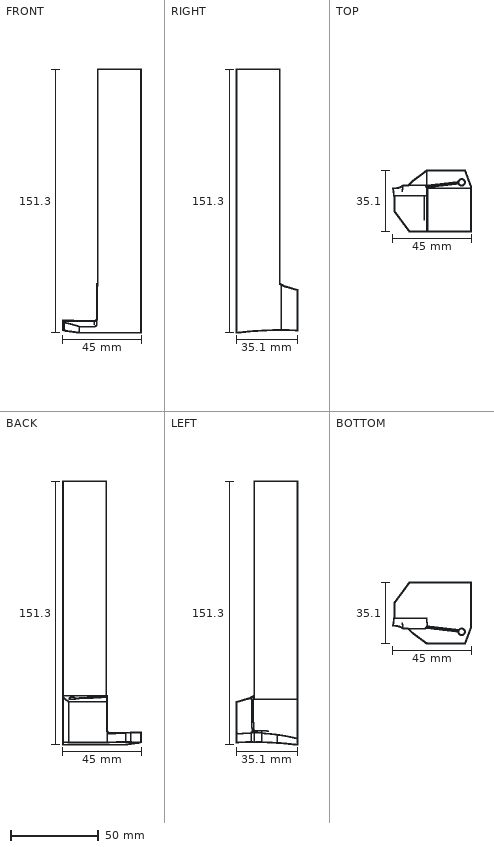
import cadquery as cq
import math


TOTAL_LENGTH = 45.0
TOTAL_DEPTH = 35.1
TOTAL_HEIGHT = 151.3

SHANK_SIDE = 25.0
HEAD_X = -0.5
HEAD_TOP = 26.3
STEP_TOP = 27.7

JAW_BACK_Z = 24.7
JAW_CREASE_Y = 27.4
JAW_CREASE_Z = 27.0
JAW_TOP_Z = 28.3
JAW_BACK_END_X = 21.5
JAW_SIDE_Y = 25.7

CREST_Y = SHANK_SIDE
UNDERSIDE_CREST_Z = 1.7
BLADE_CREST_Z = 6.8
BLADE_FRONT_Z = 3.6
ROOT_RADIUS = 1.5

BLADE_TIP_X = -19.0
BLADE_CORNER_Y = 11.6
BLADE_FRONT_X = -10.5
JAW_TIP_X = -11.2
JAW_BEND_X = -8.6
JAW_BEND_Y = 29.0

HOLE_X = 19.5
HOLE_Y = 28.3
HOLE_DIAMETER = 3.6
SLOT_MOUTH_Y = 25.9
SLOT_WIDTH = 0.9
SLOT_LEAN = 1.0

TIP_X = SHANK_SIDE - TOTAL_LENGTH
TIP_Y = SHANK_SIDE
RELIEF_X = -19.5
RELIEF_Y = 22.2
SEAT_Y = 20.5
INSERT_TOP_Y = 26.5
RAKE_MID_X = -17.1
RAKE_MID_Y = 25.1
RAKE_END_X = -14.0
TAIL_X = -0.2
TAIL_Y = SHANK_SIDE
TAIL_CHAMFER_X = -1.4

INSERT_MID_Z = 4.4
INSERT_WIDTH = 5.3
CUTTING_WIDTH = 5.9
CLEARANCE_END_X = -14.5
CLEARANCE_START_Y = 21.5
CLEARANCE_END_Y = 23.3
POCKET_TOP_Z = 8.2

MARGIN = 7.5
PICK_GAP = 0.2


def prism_along_x(outline, start_x, end_x):
    """Solid from a closed (y, z) outline between two x positions."""
    return outline.extrude(end_x - start_x).translate((start_x, 0, 0))


def below_arc(crest_z, front_z, start_x, end_x):
    """Solid under an arc that has its crest at CREST_Y and the height front_z at y = 0."""
    drop = crest_z - front_z
    radius = (CREST_Y**2 + drop**2) / (2 * drop)
    back_z = crest_z - radius + math.sqrt(radius**2 - (TOTAL_DEPTH - CREST_Y) ** 2)
    outline = (
        cq.Workplane("YZ")
        .moveTo(0, front_z)
        .threePointArc((CREST_Y, crest_z), (TOTAL_DEPTH, back_z))
        .lineTo(TOTAL_DEPTH, -MARGIN)
        .lineTo(0, -MARGIN)
        .close()
    )
    return prism_along_x(outline, start_x, end_x)


def shank_and_head():
    """Square shank whose lower part stands proud on the -X side, joined by a hollow arc."""
    return (
        cq.Workplane("XZ")
        .moveTo(HEAD_X, 0)
        .lineTo(SHANK_SIDE, 0)
        .lineTo(SHANK_SIDE, TOTAL_HEIGHT)
        .lineTo(0, TOTAL_HEIGHT)
        .lineTo(0, STEP_TOP)
        .tangentArcPoint((HEAD_X, HEAD_TOP), relative=False)
        .close()
        .extrude(-SHANK_SIDE)
    )


def upper_jaw():
    """Block behind the head with a creased sloping top and a slanted +X side."""
    side_outline = (
        cq.Workplane("YZ")
        .polyline([
            (SHANK_SIDE, 0),
            (TOTAL_DEPTH, 0),
            (TOTAL_DEPTH, JAW_BACK_Z),
            (JAW_CREASE_Y, JAW_CREASE_Z),
            (SHANK_SIDE, JAW_TOP_Z),
        ])
        .close()
    )
    plan = (
        cq.Workplane("XY")
        .polyline([
            (HEAD_X, SHANK_SIDE),
            (SHANK_SIDE, SHANK_SIDE),
            (SHANK_SIDE, JAW_SIDE_Y),
            (JAW_BACK_END_X, TOTAL_DEPTH),
            (HEAD_X, TOTAL_DEPTH),
        ])
        .close()
        .extrude(TOTAL_HEIGHT)
    )
    return prism_along_x(side_outline, HEAD_X, SHANK_SIDE).intersect(plan)


def blade():
    """Curved plate that carries the insert, reaching into the head."""
    plan = (
        cq.Workplane("XY")
        .polyline([
            (0, 0),
            (BLADE_FRONT_X, 0),
            (BLADE_TIP_X, BLADE_CORNER_Y),
            (BLADE_TIP_X, SEAT_Y),
            (JAW_TIP_X, SEAT_Y),
            (JAW_TIP_X, INSERT_TOP_Y),
            (JAW_BEND_X, JAW_BEND_Y),
            (HEAD_X, TOTAL_DEPTH),
            (0, TOTAL_DEPTH),
        ])
        .close()
        .extrude(TOTAL_HEIGHT)
    )
    return below_arc(BLADE_CREST_Z, BLADE_FRONT_Z, BLADE_TIP_X, 0).intersect(plan)


def insert_plan():
    """Closed outline of the insert seen along Z."""
    return (
        cq.Workplane("XY")
        .moveTo(TIP_X, TIP_Y)
        .threePointArc((RAKE_MID_X, RAKE_MID_Y), (RAKE_END_X, INSERT_TOP_Y))
        .lineTo(TAIL_CHAMFER_X, INSERT_TOP_Y)
        .lineTo(TAIL_X, TAIL_Y)
        .lineTo(HEAD_X, RELIEF_Y)
        .lineTo(HEAD_X, SEAT_Y)
        .lineTo(RELIEF_X, SEAT_Y)
        .lineTo(RELIEF_X, RELIEF_Y)
        .close()
    )


def insert_pocket():
    """Pocket that matches the insert and runs on into the head face above it."""
    return insert_plan().extrude(POCKET_TOP_Z)


def clamping_slot():
    """Thin leaning slot from the back of the pocket to a round relief hole."""
    run = HOLE_X - TAIL_CHAMFER_X
    rise = HOLE_Y - SLOT_MOUTH_Y
    slot = (
        cq.Workplane("XY")
        .box(math.hypot(run, rise), SLOT_WIDTH, 2 * JAW_TOP_Z)
        .rotate((0, 0, 0), (1, 0, 0), -SLOT_LEAN)
        .rotate((0, 0, 0), (0, 0, 1), math.degrees(math.atan2(rise, run)))
        .translate((HOLE_X - run / 2, HOLE_Y - rise / 2, HEAD_TOP))
    )
    hole = cq.Workplane("XY").center(HOLE_X, HOLE_Y).circle(HOLE_DIAMETER / 2).extrude(JAW_TOP_Z)
    return slot.union(hole)


def make_holder():
    """Shank, head, jaw and blade in one piece, with the pocket and the slot cut out."""
    body = shank_and_head().union(upper_jaw()).union(blade())
    root = cq.selectors.BoxSelector(
        (HEAD_X - PICK_GAP, -PICK_GAP, BLADE_FRONT_Z - PICK_GAP),
        (HEAD_X + PICK_GAP, TOTAL_DEPTH + PICK_GAP, BLADE_CREST_Z + PICK_GAP),
    )
    body = body.edges(root).fillet(ROOT_RADIUS)
    body = body.cut(below_arc(UNDERSIDE_CREST_Z, 0, BLADE_TIP_X, SHANK_SIDE))
    return body.cut(insert_pocket()).cut(clamping_slot())


def cutting_tip():
    """Front corner of the insert, widening along Z at both sides up to the cutting edge."""
    line_x = CLEARANCE_END_X - RELIEF_X
    line_y = CLEARANCE_END_Y - CLEARANCE_START_Y
    line_length = math.hypot(line_x, line_y)
    reach = (line_x * (TIP_Y - CLEARANCE_START_Y) - line_y * (TIP_X - RELIEF_X)) / line_length
    flare = cq.Plane(
        origin=(RELIEF_X, CLEARANCE_START_Y, INSERT_MID_Z),
        xDir=(-line_y, line_x, 0),
        normal=(line_x, line_y, 0),
    )
    flared_bar = (
        cq.Workplane(flare)
        .polyline([
            (0, -INSERT_WIDTH / 2),
            (reach, -CUTTING_WIDTH / 2),
            (reach, CUTTING_WIDTH / 2),
            (0, INSERT_WIDTH / 2),
        ])
        .close()
        .extrude(TOTAL_LENGTH, both=True)
    )
    corner = (
        cq.Workplane("XY")
        .polyline([
            (TIP_X, CLEARANCE_START_Y),
            (RELIEF_X, CLEARANCE_START_Y),
            (CLEARANCE_END_X, CLEARANCE_END_Y),
            (RAKE_END_X, INSERT_TOP_Y),
            (TIP_X, INSERT_TOP_Y),
        ])
        .close()
        .extrude(TOTAL_HEIGHT)
    )
    return flared_bar.intersect(corner).intersect(insert_plan().extrude(TOTAL_HEIGHT))


def make_insert():
    """Flat insert body with its wider cutting tip."""
    plate = insert_plan().extrude(INSERT_WIDTH).translate((0, 0, INSERT_MID_Z - INSERT_WIDTH / 2))
    return plate.union(cutting_tip())


holder = make_holder()
insert = make_insert()

result = cq.Compound.makeCompound([holder.solids().val(), insert.solids().val()])